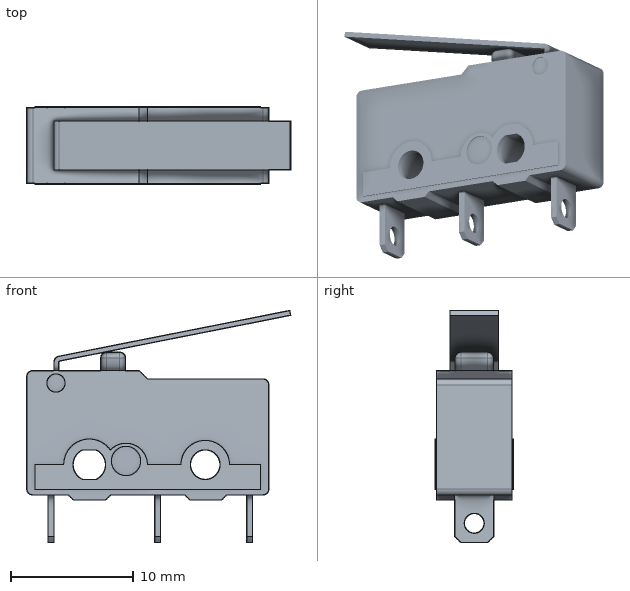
import cadquery as cq
import math


HOUSING_LENGTH = 19.8
HOUSING_WIDTH = 6.2
HOUSING_HEIGHT = 10.17
LOW_TOP = 9.5
STEP_START = 9.2
CORNER_RADIUS = 0.5

FOOT_DEPTH = 0.4
FEET = [(5.15, 3.45), (14.65, 3.41)]

HOLE_DIAMETER = 2.4
HOLE_HEIGHT = 2.48
FLATTED_HOLE_X = 5.12
FLATTED_HOLE_DIAMETER = 2.64
HOLE_SPACING = 9.48
ROUND_HOLE_X = FLATTED_HOLE_X + HOLE_SPACING

PANEL_LEFT = 0.67
PANEL_RIGHT = 19.14
PANEL_BOTTOM = 0.45
PANEL_THICKNESS = 0.097
WIDTH_OVER_PANELS = HOUSING_WIDTH + 2 * PANEL_THICKNESS
FLATTED_LOBE_RADIUS = 2.1
MIDDLE_LOBE_RADIUS = 1.75
ROUND_LOBE_RADIUS = 1.99

MARK_DEPTH = 0.097
PANEL_MARK_X = 8.12
PANEL_MARK_HEIGHT = 2.79
PANEL_MARK_DIAMETER = 2.4
PIVOT_MARK_X = 2.4
PIVOT_MARK_HEIGHT = 9.15
PIVOT_MARK_DIAMETER = 1.5

PLUNGER_LEFT = 6.05
PLUNGER_LENGTH = 2.05
PLUNGER_WIDTH = 3.15
PLUNGER_TOP = 11.69
PLUNGER_RADIUS = 0.5
SLOT_DEPTH = 1.0

LEVER_TIP_X = 21.6
LEVER_TOP = 15.1
LEVER_LEFT = 2.22
LEVER_WIDTH = 4.0
LEVER_THICKNESS = 0.4
LEVER_ANGLE = math.radians(11.2)
BEND_OUTER_RADIUS = 0.5
BEND_INNER_RADIUS = BEND_OUTER_RADIUS - LEVER_THICKNESS

TERMINAL_CENTRES = [1.99, 10.71, 18.23]
TERMINAL_THICKNESS = 0.5
TERMINAL_WIDTH = 3.2
TERMINAL_LENGTH = 3.89
TERMINAL_CHAMFER = 0.5
TERMINAL_HOLE_DIAMETER = 1.6
TERMINAL_HOLE_DEPTH = 2.31


def extrude_across(profile, width):
    """Extrude an XZ profile by width, centred on Y = 0."""
    return profile.extrude(width).translate((0, width / 2, 0))


def cylinder_across(x, z, diameter, width):
    """Cylinder along Y, centred on Y = 0."""
    return extrude_across(cq.Workplane("XZ").center(x, z).circle(diameter / 2), width)


def bar_across(x_min, x_max, z_min, z_max, width):
    """Rectangular bar, centred on Y = 0."""
    centre_x = (x_min + x_max) / 2
    centre_z = (z_min + z_max) / 2
    profile = cq.Workplane("XZ").center(centre_x, centre_z).rect(x_max - x_min, z_max - z_min)
    return extrude_across(profile, width)


def make_block():
    """Main housing block with its stepped top and rounded ends."""
    step_end = STEP_START + HOUSING_HEIGHT - LOW_TOP
    outline = [
        (0, 0),
        (HOUSING_LENGTH, 0),
        (HOUSING_LENGTH, LOW_TOP),
        (step_end, LOW_TOP),
        (STEP_START, HOUSING_HEIGHT),
        (0, HOUSING_HEIGHT),
    ]
    block = extrude_across(cq.Workplane("XZ").polyline(outline).close(), HOUSING_WIDTH)
    return block.edges("|Y and (<X or >X)").fillet(CORNER_RADIUS)


def make_foot(centre_x, length):
    """Foot with 45 degree ends."""
    outline = [
        (centre_x - length / 2, 0),
        (centre_x + length / 2, 0),
        (centre_x + length / 2 - FOOT_DEPTH, -FOOT_DEPTH),
        (centre_x - length / 2 + FOOT_DEPTH, -FOOT_DEPTH),
    ]
    return extrude_across(cq.Workplane("XZ").polyline(outline).close(), HOUSING_WIDTH)


def make_panels():
    """Raised panels of both sides as one slab: a strip with three round lobes on its top edge."""
    lobes = [
        (FLATTED_HOLE_X, FLATTED_LOBE_RADIUS),
        (PANEL_MARK_X, MIDDLE_LOBE_RADIUS),
        (ROUND_HOLE_X, ROUND_LOBE_RADIUS),
    ]
    slab = bar_across(PANEL_LEFT, PANEL_RIGHT, PANEL_BOTTOM, HOLE_HEIGHT, WIDTH_OVER_PANELS)
    for lobe_x, lobe_radius in lobes:
        slab = slab.union(cylinder_across(lobe_x, HOLE_HEIGHT, 2 * lobe_radius, WIDTH_OVER_PANELS))
    window = bar_across(PANEL_LEFT, PANEL_RIGHT, PANEL_BOTTOM, HOUSING_HEIGHT, WIDTH_OVER_PANELS)
    return slab.intersect(window)


def make_flatted_hole():
    """Cutter for the hole with a flat top and bottom."""
    half_height = HOLE_DIAMETER / 2
    half_length = FLATTED_HOLE_DIAMETER / 2
    band = bar_across(
        FLATTED_HOLE_X - half_length,
        FLATTED_HOLE_X + half_length,
        HOLE_HEIGHT - half_height,
        HOLE_HEIGHT + half_height,
        WIDTH_OVER_PANELS,
    )
    round_hole = cylinder_across(FLATTED_HOLE_X, HOLE_HEIGHT, FLATTED_HOLE_DIAMETER, WIDTH_OVER_PANELS)
    return round_hole.intersect(band)


def make_round_marks(x, z, diameter, outer_width):
    """Cutters for a shallow round recess in both faces of a slab of outer_width."""
    core_width = outer_width - 2 * MARK_DEPTH
    return cylinder_across(x, z, diameter, outer_width).cut(cylinder_across(x, z, diameter, core_width))


def make_plunger_slot():
    """Cutter for the slot that holds the plunger."""
    return bar_across(
        PLUNGER_LEFT,
        PLUNGER_LEFT + PLUNGER_LENGTH,
        HOUSING_HEIGHT - SLOT_DEPTH,
        HOUSING_HEIGHT,
        PLUNGER_WIDTH,
    )


def make_housing():
    body = make_block()
    for centre_x, length in FEET:
        body = body.union(make_foot(centre_x, length))
    body = body.union(make_panels())
    body = body.cut(make_flatted_hole())
    body = body.cut(cylinder_across(ROUND_HOLE_X, HOLE_HEIGHT, HOLE_DIAMETER, WIDTH_OVER_PANELS))
    panel_marks = make_round_marks(PANEL_MARK_X, PANEL_MARK_HEIGHT, PANEL_MARK_DIAMETER, WIDTH_OVER_PANELS)
    pivot_marks = make_round_marks(PIVOT_MARK_X, PIVOT_MARK_HEIGHT, PIVOT_MARK_DIAMETER, HOUSING_WIDTH)
    body = body.cut(panel_marks).cut(pivot_marks)
    return body.cut(make_plunger_slot())


def make_plunger():
    """Button with rounded upright edges and a rounded top, standing on the slot floor."""
    button = bar_across(
        PLUNGER_LEFT,
        PLUNGER_LEFT + PLUNGER_LENGTH,
        HOUSING_HEIGHT - SLOT_DEPTH,
        PLUNGER_TOP,
        PLUNGER_WIDTH,
    )
    return button.edges("|Z").fillet(PLUNGER_RADIUS).faces(">Z").edges().fillet(PLUNGER_RADIUS)


def make_lever():
    """Bent strip: a short stem on the housing and a long arm rising at LEVER_ANGLE."""
    slope = math.tan(LEVER_ANGLE)
    tip_top_x = LEVER_TIP_X - LEVER_THICKNESS * math.sin(LEVER_ANGLE)
    tip_bottom_z = LEVER_TOP - LEVER_THICKNESS * math.cos(LEVER_ANGLE)
    stem_right = LEVER_LEFT + LEVER_THICKNESS
    outer_corner_z = LEVER_TOP - (tip_top_x - LEVER_LEFT) * slope
    inner_corner_z = tip_bottom_z - (LEVER_TIP_X - stem_right) * slope
    outline = [
        (LEVER_LEFT, HOUSING_HEIGHT),
        (LEVER_LEFT, outer_corner_z),
        (tip_top_x, LEVER_TOP),
        (LEVER_TIP_X, tip_bottom_z),
        (stem_right, inner_corner_z),
        (stem_right, HOUSING_HEIGHT),
    ]
    strip = extrude_across(cq.Workplane("XZ").polyline(outline).close(), LEVER_WIDTH)
    outer_corner = cq.selectors.NearestToPointSelector((LEVER_LEFT, 0, outer_corner_z))
    inner_corner = cq.selectors.NearestToPointSelector((stem_right, 0, inner_corner_z))
    strip = strip.edges(outer_corner).fillet(BEND_OUTER_RADIUS)
    return strip.edges(inner_corner).fillet(BEND_INNER_RADIUS)


def make_terminal(centre_x):
    """Flat solder tag with a hole and two clipped bottom corners."""
    tag = (
        cq.Workplane("XY")
        .box(TERMINAL_THICKNESS, TERMINAL_WIDTH, TERMINAL_LENGTH, centered=(True, True, False))
        .translate((centre_x, 0, -TERMINAL_LENGTH))
        .edges("|X and <Z")
        .chamfer(TERMINAL_CHAMFER)
    )
    hole = (
        cq.Workplane("YZ", origin=(centre_x - TERMINAL_THICKNESS / 2, 0, -TERMINAL_HOLE_DEPTH))
        .circle(TERMINAL_HOLE_DIAMETER / 2)
        .extrude(TERMINAL_THICKNESS)
    )
    return tag.cut(hole)


housing = make_housing().solids()
plunger = make_plunger().solids()
lever = make_lever().solids()
terminals = [make_terminal(centre_x).solids() for centre_x in TERMINAL_CENTRES]

result = cq.Compound.makeCompound(
    [housing.val(), plunger.val(), lever.val(), *[terminal.val() for terminal in terminals]]
)